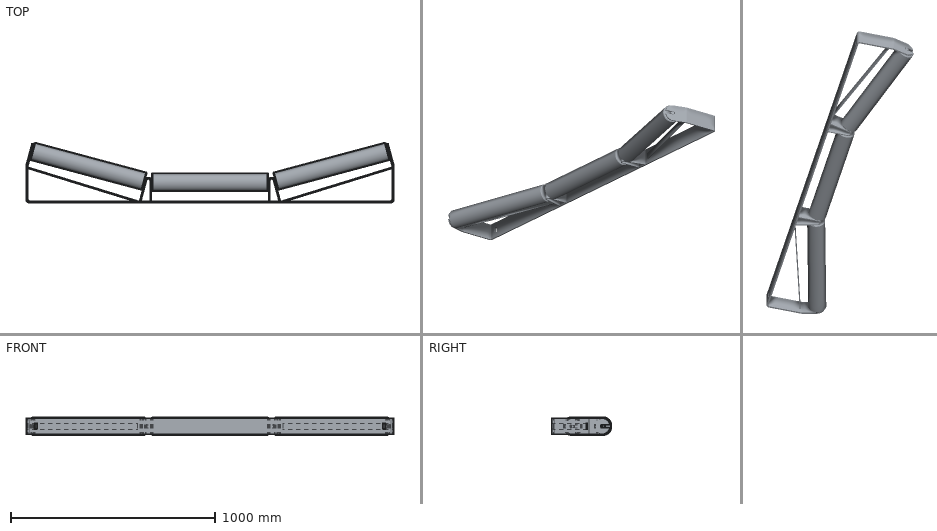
import cadquery as cq
import math


frame_length = 1800.0
strap_width = 80.0
strap_thickness = 8.0
corner_radius = 15.0
tip_bend_radius = 16.0
mount_slot_width = 16.0
mount_slot_height = 27.0
mount_slot_inset = 47.0

roller_diameter = 88.0
roller_length = 569.0
roller_edge_chamfer = 4.0
shaft_diameter = 16.0
trough_angle = 15.0
middle_axis_y = 100.0
side_center_x = 595.0
side_center_y = 178.0
side_gap = 2.7
middle_gap = 4.0
slot_clearance = 4.0

bracket_thickness = 5.0
fold_radius = 15.0

brace_thickness = 4.5
brace_width = 30.0
brace_foot_x = 356.0
brace_end_y = 173.0

half_length = frame_length / 2
end_inner_x = half_length - strap_thickness

tilt = math.radians(trough_angle)
x_dir = cq.Vector(1, 0, 0)
axis_dir = cq.Vector(math.cos(tilt), math.sin(tilt), 0)
up_dir = cq.Vector(-math.sin(tilt), math.cos(tilt), 0)
middle_center = cq.Vector(0, middle_axis_y, 0)
side_center = cq.Vector(side_center_x, side_center_y, 0)

middle_seat = roller_length / 2 + middle_gap
middle_reach = middle_seat + bracket_thickness
side_seat = roller_length / 2 + side_gap
side_bracket_reach = side_seat + bracket_thickness
side_frame_reach = side_seat + strap_thickness

bracket_face_point = side_center - axis_dir * side_seat
tip_inner_point = side_center + axis_dir * side_seat
tip_outer_point = side_center + axis_dir * side_frame_reach


def tilted_point_at_x(point, x):
    """Point at the given x on the line through point along up_dir."""
    return point + up_dir * ((x - point.x) / up_dir.x)


def tilted_point_at_y(point, y):
    """Point at the given y on the line through point along up_dir."""
    return point + up_dir * ((y - point.y) / up_dir.y)


def flat(vector):
    return (vector.x, vector.y)


def strip(outline, width):
    """XY outline extruded symmetrically about Z = 0."""
    return cq.Workplane("XY").polyline(outline).close().extrude(width / 2, both=True)


def round_corner(body, corner, radius):
    """Fillet the edge along Z that stands at the given XY corner."""
    x, y = corner
    return body.edges(cq.selectors.NearestToPointSelector((x, y, 0))).fillet(radius)


def across_axis(center, direction, offset=0):
    """Workplane square to a roller axis, its local y pointing away from the base."""
    origin = center + direction * offset
    return cq.Workplane(cq.Plane(origin=origin.toTuple(), xDir=(0, 0, -1), normal=direction.toTuple()))


def rod(center, direction, start, end, diameter):
    """Cylinder between two distances from center along direction."""
    return across_axis(center, direction, start).circle(diameter / 2).extrude(end - start)


def shaft_slot(center, direction, start, end):
    """Cutter for a round-bottomed slot that is open away from the base."""
    depth = end - start
    plane = across_axis(center, direction, start)
    bottom = plane.center(0, -slot_clearance).circle(shaft_diameter / 2).extrude(depth)
    opening_plane = across_axis(center, direction, start).center(0, strap_width / 2 - slot_clearance)
    return bottom.union(opening_plane.rect(shaft_diameter, strap_width).extrude(depth))


def make_roller(center, direction, inner_reach, outer_reach):
    """Chamfered roller and its two shaft ends in one solid."""
    shell = rod(center, direction, -roller_length / 2, roller_length / 2, roller_diameter)
    shell = shell.edges().chamfer(roller_edge_chamfer)
    return shell.union(rod(center, direction, -inner_reach, outer_reach, shaft_diameter))


def make_brace():
    """Sloping strip from the base, through the end plate, flush with its outer face."""
    slope = (brace_end_y - strap_thickness) / (end_inner_x - brace_foot_x)
    drop = brace_thickness * math.hypot(1, slope)
    outer_y = brace_end_y + slope * strap_thickness
    outline = [
        (brace_foot_x, strap_thickness),
        (brace_foot_x + drop / slope, strap_thickness),
        (half_length, outer_y - drop),
        (half_length, outer_y),
    ]
    return strip(outline, brace_width)


def tip_trimmer():
    """Material outside the full-round tip of the tilted end plate."""
    tip_center = tip_outer_point - up_dir * slot_clearance
    plane = across_axis(tip_center, axis_dir)
    block = plane.center(0, strap_width / 2).rect(2 * strap_width, strap_width)
    disc = across_axis(tip_center, axis_dir).circle(strap_width / 2)
    depth = 2 * strap_thickness
    return block.extrude(depth, both=True).cut(disc.extrude(depth, both=True))


def mount_slot():
    slot = cq.Workplane("XZ").center(half_length - mount_slot_inset, 0)
    return slot.slot2D(mount_slot_height, mount_slot_width, 90).extrude(-strap_thickness)


def make_frame_half():
    """Half of the strap: base, end plate and tilted, slotted tip."""
    tip_rise = up_dir * (strap_width / 2)
    outer_corner = (half_length, 0)
    inner_corner = (end_inner_x, strap_thickness)
    outer_bend = flat(tilted_point_at_x(tip_outer_point, half_length))
    inner_bend = flat(tilted_point_at_x(tip_inner_point, end_inner_x))
    outline = [
        (0, 0),
        outer_corner,
        outer_bend,
        flat(tip_outer_point + tip_rise),
        flat(tip_inner_point + tip_rise),
        inner_bend,
        inner_corner,
        (0, strap_thickness),
    ]
    half = strip(outline, strap_width)
    half = round_corner(half, outer_corner, corner_radius)
    half = round_corner(half, inner_corner, corner_radius - strap_thickness)
    half = round_corner(half, outer_bend, tip_bend_radius)
    half = round_corner(half, inner_bend, tip_bend_radius - strap_thickness)
    half = half.cut(tip_trimmer())
    half = half.cut(mount_slot())
    half = half.cut(make_brace())
    return half.cut(shaft_slot(side_center, axis_dir, side_seat, side_frame_reach))


def make_frame():
    half = make_frame_half()
    return half.union(half.mirror("YZ"))


def bracket_wedge(inset, ridge_radius):
    """Wedge with a rounded ridge, its flanks set in from the bracket's two roller faces."""
    upright_x = middle_seat + inset
    tilted_face_point = bracket_face_point - axis_dir * inset
    ridge = flat(tilted_point_at_x(tilted_face_point, upright_x))
    foot = flat(tilted_point_at_y(tilted_face_point, strap_thickness))
    wedge = strip([(upright_x, strap_thickness), foot, ridge], strap_width)
    return round_corner(wedge, ridge, ridge_radius)


def make_bracket():
    """Strip folded into an upright leg and a tilted leg, each with a shaft slot running through the fold."""
    outside = bracket_wedge(0, fold_radius)
    inside = bracket_wedge(bracket_thickness, fold_radius - bracket_thickness)
    middle_slot = shaft_slot(middle_center, x_dir, middle_seat, middle_seat + fold_radius)
    side_slot = shaft_slot(side_center, axis_dir, -side_seat - fold_radius, -side_seat)
    return outside.cut(inside).cut(middle_slot).cut(side_slot)


frame = make_frame()
middle_roller = make_roller(middle_center, x_dir, middle_reach, middle_reach)
side_roller = make_roller(side_center, axis_dir, side_bracket_reach, side_frame_reach)
bracket = make_bracket()
brace = make_brace()

bodies = [frame.val(), middle_roller.val()]
for side_body in (side_roller, bracket, brace):
    bodies.append(side_body.val())
    bodies.append(side_body.mirror("YZ").val())

result = cq.Compound.makeCompound(bodies)